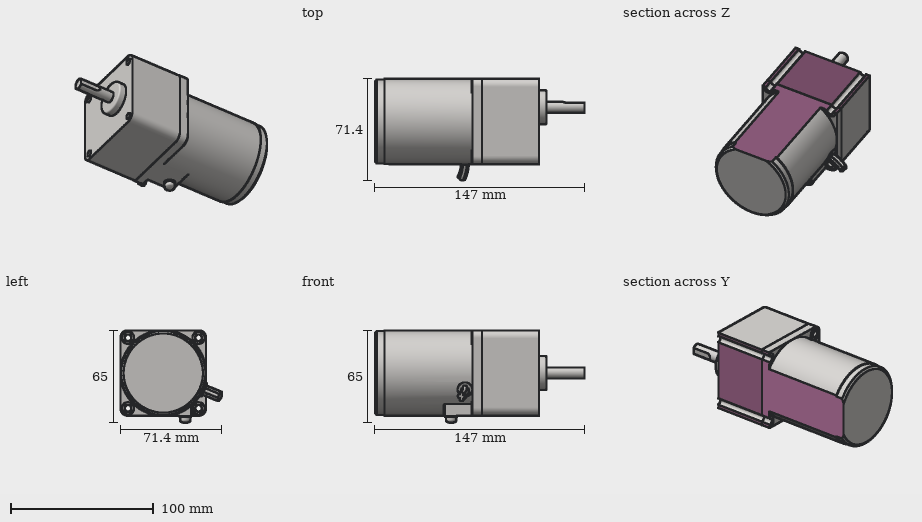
import cadquery as cq


FRAME = 60.0
HALF_FRAME = FRAME / 2
HOLE_SPACING = 49.4
HOLE_DIAMETER = 4.5

CAP_LENGTH = 6.8
FLANGE_START = 68.2
FLANGE_END = 75.0
GEARBOX_END = 115.0
BOSS_END = 120.2
SHAFT_END = 147.0

CAN_RADIUS = HALF_FRAME
CAP_RADIUS = 29.5
CAP_BEVEL_LENGTH = 1.5
CAP_FACE_RADIUS = 27.8
FLANGE_CORNER = 5.3
PAD_DIAMETER = 8.5
PAD_HEIGHT = 0.5

BLOCK_START = 47.9
BLOCK_SIDE_Y = -20.7
BLOCK_CHAMFER_X = 1.0
BLOCK_CHAMFER_Y = 1.3
SCREW_X = 53.4
SCREW_Y = -15.5
WASHER_RADIUS = 4.1
WASHER_HEIGHT = 0.9
SCREW_RADIUS = 3.7
SCREW_HEIGHT = 5.0
SCREW_DOME_HEIGHT = 1.2
SCREW_FILLET = 1.3

CABLE_X = 63.0
CABLE_ANGLE = 22.5
GROMMET_RADIUS = 5.1
GROMMET_TOP = 31.2
GROMMET_FILLET = 0.7
WIRE_RADIUS = 1.5
WIRE_OFFSET_X = 1.3
WIRE_OFFSET_Z = 2.0
CABLE_ROOT = 28.0
BEND_RADIUS = 29.4
BEND_ANGLE = 23.8

GEARBOX_CORNER = 5.7
SHAFT_OFFSET = 10.0
BOSS_RADIUS = 12.0
BOSS_FILLET = 1.2
SHAFT_RADIUS = 4.0
FLAT_DEPTH = 0.7
FLAT_START = 133.8
FLAT_RUNOUT = 2.6


def section(x, y=0.0):
    """Workplane facing +X at the given x; its local axes are Y and Z."""
    return cq.Workplane("YZ", origin=(x, y, 0))


def cylinder(radius, start, end, y=0.0):
    return section(start, y).circle(radius).extrude(end - start)


def frame_prism(start, end, corner):
    prism = section(start).rect(FRAME, FRAME).extrude(end - start)
    return prism.edges("|X").fillet(corner)


def corner_rods(diameter, start, end):
    """Four parallel rods on the mounting-hole pattern."""
    pattern = section(start).rect(HOLE_SPACING, HOLE_SPACING, forConstruction=True)
    return pattern.vertices().circle(diameter / 2).extrude(end - start)


def make_can():
    """Round can with a slightly smaller, bevelled rear cap."""
    half_profile = [
        (0, 0),
        (0, CAP_FACE_RADIUS),
        (CAP_BEVEL_LENGTH, CAP_RADIUS),
        (CAP_LENGTH, CAP_RADIUS),
        (CAP_LENGTH, CAN_RADIUS),
        (FLANGE_START, CAN_RADIUS),
        (FLANGE_START, 0),
    ]
    return cq.Workplane("XY").polyline(half_profile).close().revolve(360, (0, 0), (1, 0))


def make_flange():
    flange = frame_prism(FLANGE_START, FLANGE_END, FLANGE_CORNER)
    return flange.union(corner_rods(PAD_DIAMETER, FLANGE_START - PAD_HEIGHT, FLANGE_START))


def make_terminal_block():
    outline = [
        (BLOCK_START, 0),
        (BLOCK_START, BLOCK_SIDE_Y + BLOCK_CHAMFER_Y),
        (BLOCK_START + BLOCK_CHAMFER_X, BLOCK_SIDE_Y),
        (FLANGE_START, BLOCK_SIDE_Y),
        (FLANGE_START, 0),
    ]
    block = cq.Workplane("XY", origin=(0, 0, -HALF_FRAME)).polyline(outline).close()
    return block.extrude(HALF_FRAME)


def make_ground_screw():
    """Round head with a shallow dome below, seated on a thin washer."""
    base = cq.Workplane("XY", origin=(SCREW_X, SCREW_Y, -HALF_FRAME))
    washer = base.circle(WASHER_RADIUS).extrude(-WASHER_HEIGHT)
    rim = SCREW_HEIGHT - SCREW_DOME_HEIGHT
    dome_radius = (SCREW_RADIUS**2 + SCREW_DOME_HEIGHT**2) / (2 * SCREW_DOME_HEIGHT)
    dome = base.workplane(offset=dome_radius - SCREW_HEIGHT).sphere(dome_radius)
    head = base.circle(SCREW_RADIUS).extrude(-SCREW_HEIGHT).intersect(dome)
    rim_edge = cq.selectors.NearestToPointSelector((SCREW_X, SCREW_Y, -HALF_FRAME - rim))
    return head.edges(rim_edge).fillet(SCREW_FILLET).union(washer)


def cable_plane(depth):
    """Workplane facing -Y on the cable axis; its local axes are X and Z."""
    return cq.Workplane("XZ", origin=(CABLE_X, -depth, 0))


def make_wire(offset_x, offset_z):
    """A wire that leaves the grommet along -Y, then bends toward -X."""
    root = cable_plane(CABLE_ROOT).center(offset_x, offset_z).circle(WIRE_RADIUS)
    straight = root.extrude(GROMMET_TOP - CABLE_ROOT)
    bend_start = cable_plane(GROMMET_TOP).center(offset_x, offset_z).circle(WIRE_RADIUS)
    bend_axis_x = -BEND_RADIUS - offset_x
    bend = bend_start.revolve(BEND_ANGLE, (bend_axis_x, 0), (bend_axis_x, -1))
    return straight.union(bend)


def make_cable():
    """Four nested wires and their grommet, turned down to the outlet angle."""
    grommet = cable_plane(CABLE_ROOT).circle(GROMMET_RADIUS).extrude(GROMMET_TOP - CABLE_ROOT)
    cable = grommet.faces("<Y").edges().fillet(GROMMET_FILLET)
    wire_offsets = [
        (-WIRE_OFFSET_X, 0),
        (WIRE_OFFSET_X, 0),
        (0, WIRE_OFFSET_Z),
        (0, -WIRE_OFFSET_Z),
    ]
    for offset_x, offset_z in wire_offsets:
        cable = cable.union(make_wire(offset_x, offset_z))
    return cable.rotate((0, 0, 0), (1, 0, 0), CABLE_ANGLE)


def make_motor():
    motor = make_can().union(make_flange())
    motor = motor.union(make_terminal_block())
    motor = motor.union(make_ground_screw())
    motor = motor.union(make_cable())
    return motor.cut(corner_rods(HOLE_DIAMETER, FLANGE_START - PAD_HEIGHT, FLANGE_END))


def make_shaft():
    """Output shaft with a flat on its +Y side and a sloped run-out."""
    shaft = cylinder(SHAFT_RADIUS, BOSS_END, SHAFT_END, SHAFT_OFFSET)
    surface_y = SHAFT_OFFSET + SHAFT_RADIUS
    flat_y = surface_y - FLAT_DEPTH
    outline = [
        (FLAT_START - FLAT_RUNOUT, surface_y),
        (FLAT_START, flat_y),
        (SHAFT_END, flat_y),
        (SHAFT_END, surface_y),
    ]
    removed = cq.Workplane("XY").polyline(outline).close().extrude(SHAFT_RADIUS, both=True)
    return shaft.cut(removed)


def make_gearbox():
    gearbox = frame_prism(FLANGE_END, GEARBOX_END, GEARBOX_CORNER)
    gearbox = gearbox.cut(corner_rods(HOLE_DIAMETER, FLANGE_END, GEARBOX_END))
    boss = cylinder(BOSS_RADIUS, GEARBOX_END, BOSS_END, SHAFT_OFFSET)
    boss = boss.faces(">X").edges().fillet(BOSS_FILLET)
    return gearbox.union(boss).union(make_shaft())


motor = make_motor()
gearbox = make_gearbox()

result = cq.Compound.makeCompound([motor.solids().val(), gearbox.solids().val()])